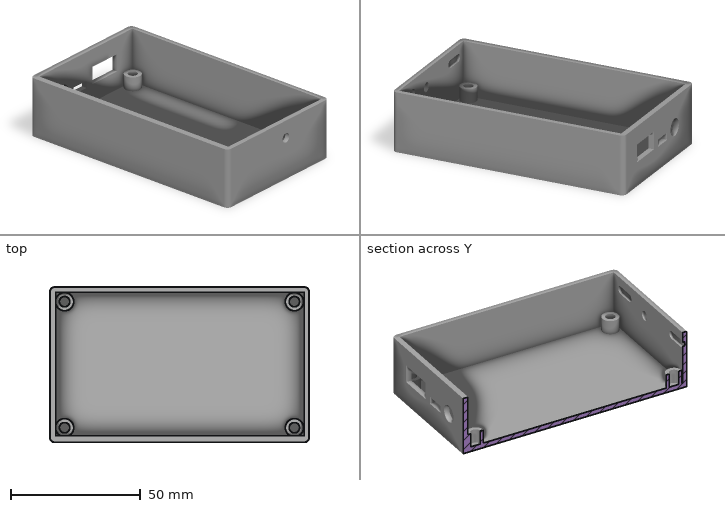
import cadquery as cq

LENGTH = 100.0
WIDTH = 60.0
HEIGHT = 25.0
CORNER_RADIUS = 2.0

WALL_LOW_X = 2.3
WALL_HIGH_X = 2.0
WALL_LOW_Y = 2.6
WALL_HIGH_Y = 2.0
FLOOR = 2.3

POST_DIAMETER = 7.0
POST_BORE_DIAMETER = 4.0
POST_TOP = 8.2
POST_INSET = 5.7

LARGE_PORT_WIDTH = 14.6
LARGE_PORT_HEIGHT = 7.4
LARGE_PORT_Y = 41.7
LARGE_PORT_Z = 13.7
SMALL_PORT_WIDTH = 7.8
SMALL_PORT_HEIGHT = 3.0
SMALL_PORT_Y = 26.8
SMALL_PORT_Z = 11.2
ROUND_PORT_DIAMETER = 7.2
ROUND_PORT_Y = 16.5
ROUND_PORT_Z = 12.5

SLOT_LENGTH = 10.0
SLOT_HEIGHT = 3.3
SLOT_SPACING = 39.0
SLOT_Z = 19.6
SLOT_DEPTH = 1.0
SMALL_HOLE_DIAMETER = 4.0
SMALL_HOLE_Y = 34.5
SMALL_HOLE_Z = 17.6

CUT_MARGIN = 1.0


def make_shell():
    """Open-topped box with rounded outer vertical edges and a sharp cavity."""
    outer = cq.Workplane("XY").box(LENGTH, WIDTH, HEIGHT, centered=False)
    outer = outer.edges("|Z").fillet(CORNER_RADIUS)
    cavity = cq.Workplane("XY").box(
        LENGTH - WALL_LOW_X - WALL_HIGH_X,
        WIDTH - WALL_LOW_Y - WALL_HIGH_Y,
        HEIGHT - FLOOR + CUT_MARGIN,
        centered=False,
    )
    return outer.cut(cavity.translate((WALL_LOW_X, WALL_LOW_Y, FLOOR)))


def post_cylinders(diameter, bottom):
    """One upright cylinder per corner, reaching up to the post tops."""
    return (
        cq.Workplane("XY", origin=(LENGTH / 2, WIDTH / 2, bottom))
        .rect(LENGTH - 2 * POST_INSET, WIDTH - 2 * POST_INSET, forConstruction=True)
        .vertices()
        .circle(diameter / 2)
        .extrude(POST_TOP - bottom)
    )


def wall_plane(x, y, z):
    """Plane facing +X whose local axes follow Y and Z."""
    return cq.Workplane("YZ", origin=(x, y, z))


def low_x_openings():
    """Two rectangular ports and a round port."""
    depth = WALL_LOW_X + CUT_MARGIN
    start = -CUT_MARGIN / 2
    large = wall_plane(start, LARGE_PORT_Y, LARGE_PORT_Z).rect(LARGE_PORT_WIDTH, LARGE_PORT_HEIGHT)
    small = wall_plane(start, SMALL_PORT_Y, SMALL_PORT_Z).rect(SMALL_PORT_WIDTH, SMALL_PORT_HEIGHT)
    round_port = wall_plane(start, ROUND_PORT_Y, ROUND_PORT_Z).circle(ROUND_PORT_DIAMETER / 2)
    return large.extrude(depth).union(small.extrude(depth)).union(round_port.extrude(depth))


def high_x_recesses():
    """A pair of blind horizontal slots and a small through hole between them."""
    depth = WALL_HIGH_X + CUT_MARGIN
    start = LENGTH - WALL_HIGH_X - CUT_MARGIN / 2
    slots = (
        wall_plane(start, WIDTH / 2, SLOT_Z)
        .pushPoints([(-SLOT_SPACING / 2, 0), (SLOT_SPACING / 2, 0)])
        .slot2D(SLOT_LENGTH, SLOT_HEIGHT)
        .extrude(SLOT_DEPTH + CUT_MARGIN / 2)
    )
    hole = wall_plane(start, SMALL_HOLE_Y, SMALL_HOLE_Z).circle(SMALL_HOLE_DIAMETER / 2)
    return slots.union(hole.extrude(depth))


result = make_shell().union(post_cylinders(POST_DIAMETER, 0))
result = result.cut(post_cylinders(POST_BORE_DIAMETER, FLOOR))
result = result.cut(low_x_openings()).cut(high_x_recesses())